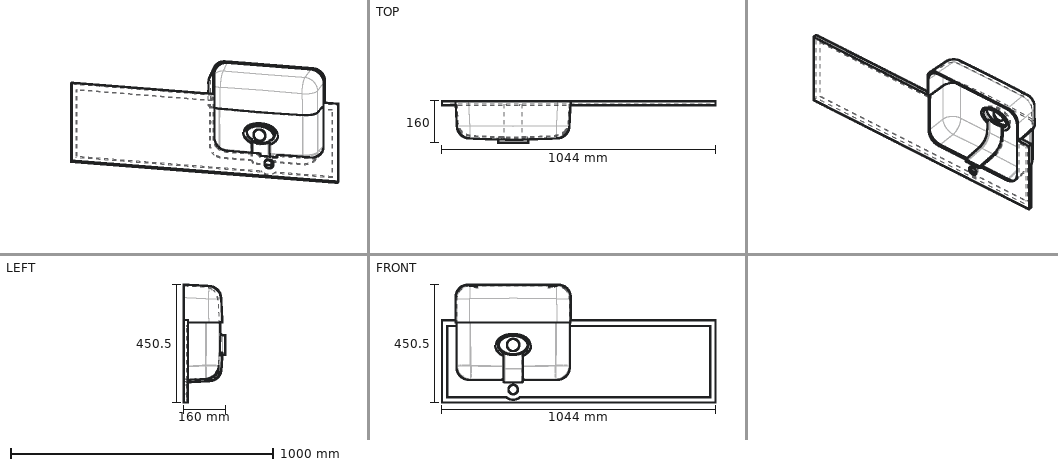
import cadquery as cq
plate_width = 1044.05
plate_height = 315.0
plate_depth = 16.0

rim_width = 19.5
top_rim_width = 22.5
pocket_depth = 5.0
pocket_wall_run = 3.0

tap_z = 50.0
tap_hole_diameter = 35.0
tap_bay_radius = 39.0

bowl_center_x = 272.0
bowl_width = 440.0
bowl_top = 450.52
bowl_bottom = 83.0
bowl_side_depth = 141.0
floor_dome = 8.0
bowl_draft = 3.0
bowl_fillet = 50.0

step_z = 306.0
step_at_walls = 3.0
step_at_floor = 9.0
sheet = 3.0

drain_z = 220.0
drain_length = 116.0
drain_height = 76.0
drain_face = 160.0
drain_foot_depth = 138.5
boss_start = 110.0
foot_margin = 11.0
drain_hole_diameter = 46.0
drain_flare = 10.0
channel_width = 74.0
channel_rise_at_wall = 9.5
channel_rise_at_floor = 9.5
channel_edge_fillet = 6.0
channel_root_fillet = 3.0


def depth_plane(x, z, depth):
    """Sketch plane at (x, z), the given depth in front of the back face, extruding towards -Y."""
    return cq.Workplane("XZ", origin=(x, -depth, z))


def bowl_body(wall_inset, floor_inset):
    """Solid drafted bowl, its mouth on Y = 0, with a domed floor and rounded edges."""
    depth = bowl_side_depth - floor_inset
    width = bowl_width - 2 * wall_inset
    height = bowl_top - bowl_bottom - 2 * wall_inset
    center_z = (bowl_top + bowl_bottom) / 2
    prism = depth_plane(bowl_center_x, center_z, 0).rect(width, height).extrude(depth, taper=bowl_draft)
    floor_edges = prism.faces("<Y").edges().vals()
    low_point = cq.Vector(bowl_center_x, -depth - floor_dome, drain_z)
    floor = cq.Face.makeNSidedSurface(floor_edges, [low_point])
    shell = cq.Shell.makeShell(prism.faces("not(<Y)").vals() + [floor])
    body = cq.Workplane(cq.Solid.makeSolid(shell))
    return body.edges("not(>Y)").fillet(bowl_fillet)


def strip(z_min, z_max, width):
    """Box centred on the bowl in X, deep enough to pass through the whole part."""
    return depth_plane(bowl_center_x, (z_min + z_max) / 2, 0).rect(width, z_max - z_min).extrude(drain_face)


def hole(x, z, diameter):
    return depth_plane(x, z, 0).circle(diameter / 2).extrude(drain_face)


def plate():
    blank = cq.Workplane("XZ").rect(plate_width, plate_height, centered=False).extrude(plate_depth)
    return blank.cut(plate_pocket())


def plate_pocket():
    """Pocket with sloping walls at the sides and bottom, plus the round bay at the tap hole."""
    width = plate_width - 2 * rim_width
    height = plate_height - rim_width - top_rim_width
    floor_depth = plate_depth - pocket_depth
    recess = (
        depth_plane(rim_width, rim_width, plate_depth)
        .rect(width, height, centered=False)
        .workplane(offset=-pocket_depth)
        .moveTo(pocket_wall_run, pocket_wall_run)
        .rect(width - 2 * pocket_wall_run, height - pocket_wall_run, centered=False)
        .loft(ruled=True)
    )
    bay = depth_plane(bowl_center_x, tap_z, floor_depth).circle(tap_bay_radius).extrude(pocket_depth)
    return recess.union(bay)



def edges_on(body, surface):
    """Edges of the body whose midpoint lies on the surface of another shape."""
    touching = 0.01
    return body.edges().filter(
        lambda edge: cq.Vertex.makeVertex(*edge.positionAt(0.5).toTuple()).distance(surface) < touching
    )


def channel(thickness):
    """Overflow channel: a strip of the bowl shape, raised from the skin and rounded along its edges."""
    raised = bowl_body(
        step_at_walls - channel_rise_at_wall + thickness,
        step_at_floor - channel_rise_at_floor + thickness,
    )
    ridge = raised.intersect(strip(0, drain_z, channel_width - 2 * thickness))
    long_edges = ridge.faces("<X or >X").edges("not(>Y or >Z)")
    return ridge.newObject(long_edges.vals()).fillet(channel_edge_fillet - thickness)


def drain_boss(thickness):
    """Oval boss on the bowl floor; a thickness insets it all round and at its face."""
    length = drain_length - 2 * thickness
    height = drain_height - 2 * thickness
    depth = drain_face - thickness - boss_start
    oval = depth_plane(bowl_center_x, drain_z, boss_start).ellipse(length / 2, height / 2)
    return oval.extrude(depth)


def flared_drain_boss():
    """Drain boss whose root flares out to meet the bowl floor; its oval foot is buried in the floor."""
    foot = (
        depth_plane(bowl_center_x, drain_z, boss_start)
        .ellipse(drain_length / 2 + foot_margin, drain_height / 2 + foot_margin)
        .extrude(drain_foot_depth - boss_start)
    )
    oval = drain_boss(0)
    boss = foot.union(oval)
    root = edges_on(boss, oval.faces("not |Y").val()).edges("not(|Y or <Y)")
    return boss.newObject(root.vals()).fillet(drain_flare)


def lower_bowl():
    """Thinner part of the bowl with the overflow channel and drain boss blended into it."""
    basin = bowl_body(step_at_walls, step_at_floor)
    body = basin.union(channel(0))
    sides = body.faces("|X").vals()
    roots = edges_on(body.newObject(sides), basin.val().Shells()[0]).edges("not(>Y)")
    body = body.newObject(roots.vals()).fillet(channel_root_fillet)
    return body.union(flared_drain_boss())


def cavity():
    """Inside of the sink, one sheet thickness within the lower bowl, channel and drain boss."""
    basin = bowl_body(step_at_walls + sheet, step_at_floor + sheet)
    return basin.union(channel(sheet)).union(drain_boss(sheet))


def sink():
    upper = bowl_body(0, 0).intersect(strip(step_z, bowl_top, bowl_width))
    body = plate().union(upper).union(lower_bowl()).cut(cavity())
    body = body.cut(hole(bowl_center_x, drain_z, drain_hole_diameter))
    return body.cut(hole(bowl_center_x, tap_z, tap_hole_diameter))


result = sink()